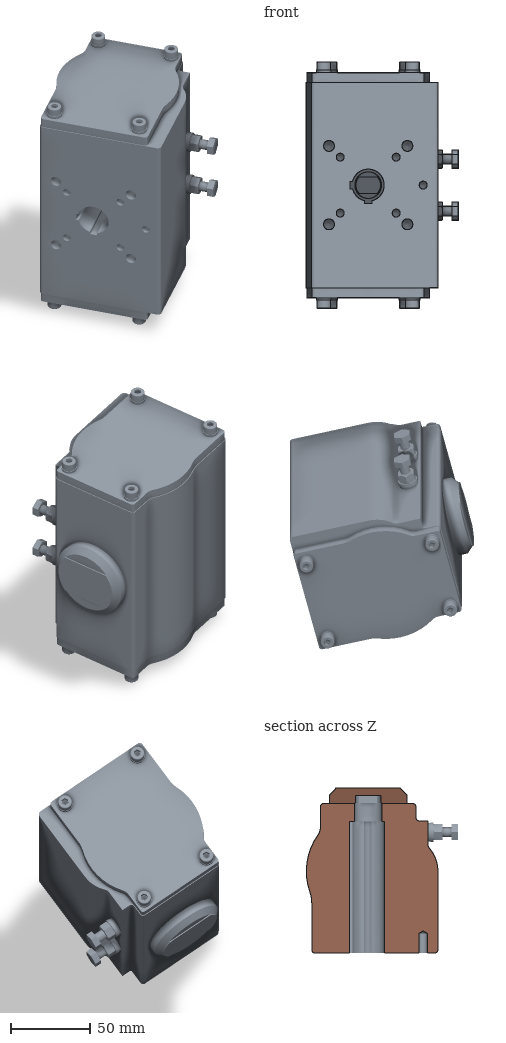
import cadquery as cq
import math


barrel_radius = 39.3
housing_top = 43.0
housing_bottom = -51.9
neck_half_width = 30.4
base_half_width = 35.8
neck_blend_radius = 8.1
base_blend_radius = 20.3
corner_radius = 2.3
housing_length = 130.0

flank_right = 44.3
flank_curve_radius = 22.3
flank_blend_radius = 4.7
ledge_right = 37.9
ledge_top = 32.0
ledge_fillet = 1.9

plate_inset = 0.5
plate_base_blend_radius = 14.8
plate_thickness = 6.2
overall_length = 155.8
plate_face = housing_length / 2 + plate_thickness
screw_washer_diameter = 9.4
screw_washer_thickness = 1.5
screw_head_diameter = 8.7
screw_head_height = overall_length / 2 - plate_face - screw_washer_thickness
screw_head_fillet = 0.6
socket_across_flats = 4.0
socket_depth = 2.5
upper_screw_x = 24.2
upper_screw_y = 36.3
lower_screw_x = 28.0
lower_screw_y = -44.5

bore_radius = 10.1
bore_end_y = 31.2
keyway_width = 4.7
keyway_reach = 11.5
shaft_hole_radius = 8.4

drill_point_angle = 118.0
outer_hole_pitch = 49.5
outer_hole_diameter = 6.9
outer_hole_depth = 15.6
inner_hole_pitch = 35.4
inner_hole_diameter = 5.0
inner_hole_depth = 12.5
side_hole_x = 34.8

bolt_y = 24.6
bolt_spacing = 32.9
bolt_end = 57.0
bolt_diameter = 6.2
bolt_head_height = 4.0
bolt_across_flats = 10.1
seal_diameter = 11.7
seal_thickness = 1.5
bolt_washer_diameter = 12.3
bolt_washer_thickness = 2.0
nut_height = 5.6
nut_chamfer = 0.6

cap_radius = 24.6
cap_rim_height = 5.1
cap_chamfer = 3.9
bar_width = 26.8
bar_height = 0.6
recess_radius = 7.8
recess_width = 10.6
recess_depth = 4.7


def across_corners(across_flats):
    return across_flats / math.cos(math.radians(30))


def cone_height(diameter):
    """Height of the drill point at the bottom of a blind hole."""
    return diameter / 2 / math.tan(math.radians(drill_point_angle / 2))


def round_edge(solid, x, y, radius):
    """Fillet the edge along Z that passes through (x, y)."""
    nearest = cq.selectors.NearestToPointSelector((x, y, 0))
    return solid.edges("|Z").edges(nearest).fillet(radius)


def rounded_profile(inset, base_blend, length):
    """Barrel crossed by a narrow neck and a wider base, shrunk by inset and centred on Z = 0."""
    radius = barrel_radius - inset
    neck = neck_half_width - inset
    base = base_half_width - inset
    top = housing_top - inset
    bottom = housing_bottom + inset
    neck_corner = math.sqrt(radius**2 - neck**2)
    base_corner = -math.sqrt(radius**2 - base**2)
    solid = (
        cq.Workplane("XY", origin=(0, 0, -length / 2))
        .moveTo(-neck, top)
        .lineTo(neck, top)
        .lineTo(neck, neck_corner)
        .threePointArc((radius, 0), (base, base_corner))
        .lineTo(base, bottom)
        .lineTo(-base, bottom)
        .lineTo(-base, base_corner)
        .threePointArc((-radius, 0), (-neck, neck_corner))
        .close()
        .extrude(length)
    )
    for x, y, fillet_radius in (
        (neck, neck_corner, neck_blend_radius),
        (base, base_corner, base_blend),
        (base, bottom, corner_radius - inset),
        (neck, top, corner_radius - inset),
    ):
        for side in (-1, 1):
            solid = round_edge(solid, side * x, y, fillet_radius)
    return solid


def flank():
    """Thickening of the +X side: ledge for the stop bolts, then a curve down to a flat side."""
    curve_center_x = flank_right - flank_curve_radius
    curve_top = math.sqrt(flank_curve_radius**2 - (ledge_right - curve_center_x) ** 2)
    curve_top_angle = math.asin(curve_top / flank_curve_radius)
    curve_middle = (
        curve_center_x + flank_curve_radius * math.cos(curve_top_angle / 2),
        flank_curve_radius * math.sin(curve_top_angle / 2),
    )
    solid = (
        cq.Workplane("XY", origin=(0, 0, -housing_length / 2))
        .moveTo(0, ledge_top)
        .lineTo(ledge_right, ledge_top)
        .lineTo(ledge_right, curve_top)
        .threePointArc(curve_middle, (flank_right, 0))
        .lineTo(flank_right, housing_bottom)
        .lineTo(0, housing_bottom)
        .close()
        .extrude(housing_length)
    )
    solid = round_edge(solid, ledge_right, curve_top, flank_blend_radius)
    return round_edge(solid, flank_right, housing_bottom, corner_radius)


def housing_block():
    block = rounded_profile(0, base_blend_radius, housing_length).union(flank())
    return round_edge(block, neck_half_width, ledge_top, ledge_fillet)


def plate_screw():
    """Socket head screw on its washer, standing on Z = 0."""
    top = screw_washer_thickness + screw_head_height
    washer = cq.Workplane("XY").circle(screw_washer_diameter / 2).extrude(screw_washer_thickness)
    head = (
        cq.Workplane("XY", origin=(0, 0, screw_washer_thickness))
        .circle(screw_head_diameter / 2)
        .extrude(screw_head_height)
        .faces(">Z").edges().fillet(screw_head_fillet)
    )
    socket = (
        cq.Workplane("XY", origin=(0, 0, top))
        .polygon(6, across_corners(socket_across_flats))
        .extrude(-socket_depth)
    )
    point = cq.Workplane(cq.Solid.makeCone(
        socket_across_flats / 2, 0, cone_height(socket_across_flats),
        pnt=cq.Vector(0, 0, top - socket_depth), dir=cq.Vector(0, 0, -1)))
    return washer.union(head).cut(socket).cut(point)


def plate_screws():
    """Four screws on each end plate."""
    upper_end = cq.Workplane("XY")
    for x, y in ((upper_screw_x, upper_screw_y), (lower_screw_x, lower_screw_y)):
        for side in (-1, 1):
            upper_end = upper_end.add(plate_screw().translate((side * x, y, plate_face)))
    upper_end = upper_end.combine()
    return upper_end.add(upper_end.mirror("XY")).combine()


def shaft_bore():
    """Bore with keyways on its -X and -Z sides, and the shaft hole up to the cap."""
    bore_length = bore_end_y - housing_bottom
    start = cq.Workplane("XZ", origin=(0, housing_bottom, 0))
    bore = start.circle(bore_radius).extrude(-bore_length)
    side_keyway = start.center(-keyway_reach / 2, 0).rect(keyway_reach, keyway_width).extrude(-bore_length)
    lower_keyway = start.center(0, -keyway_reach / 2).rect(keyway_width, keyway_reach).extrude(-bore_length)
    shaft_hole = start.circle(shaft_hole_radius).extrude(housing_bottom - housing_top)
    return bore.union(side_keyway).union(lower_keyway).union(shaft_hole)


def blind_hole(x, z, diameter, depth):
    """Drilled hole going in from the -Y face."""
    inward = cq.Vector(0, 1, 0)
    start = cq.Vector(x, housing_bottom, z)
    hole = cq.Solid.makeCylinder(diameter / 2, depth, start, inward)
    point = cq.Solid.makeCone(diameter / 2, 0, cone_height(diameter), start + inward * depth, inward)
    return cq.Workplane(hole).union(cq.Workplane(point))


def mounting_holes():
    holes = blind_hole(side_hole_x, 0, inner_hole_diameter, inner_hole_depth)
    for pitch, diameter, depth in (
        (outer_hole_pitch, outer_hole_diameter, outer_hole_depth),
        (inner_hole_pitch, inner_hole_diameter, inner_hole_depth),
    ):
        for x in (-pitch / 2, pitch / 2):
            for z in (-pitch / 2, pitch / 2):
                holes = holes.union(blind_hole(x, z, diameter, depth))
    return holes


def stop_bolt(z):
    """Seal, washer, lock nut and hexagon head bolt along +X, starting on the ledge."""
    washer_start = ledge_right + seal_thickness
    nut_start = washer_start + bolt_washer_thickness
    head_start = bolt_end - bolt_head_height

    def section(x):
        return cq.Workplane("YZ", origin=(x, bolt_y, z))

    def hexagon(x, height):
        """Hexagonal prism with two corners pointing along Z."""
        return section(x).transformed(rotate=(0, 0, 90)).polygon(
            6, across_corners(bolt_across_flats)).extrude(height)

    nut_cone = (
        section(nut_start)
        .circle(across_corners(bolt_across_flats) / 2)
        .extrude(nut_height)
        .edges().chamfer(nut_chamfer)
    )
    seal = section(ledge_right).circle(seal_diameter / 2).extrude(seal_thickness)
    washer = section(washer_start).circle(bolt_washer_diameter / 2).extrude(bolt_washer_thickness)
    nut = hexagon(nut_start, nut_height).intersect(nut_cone)
    shank = section(nut_start).circle(bolt_diameter / 2).extrude(head_start - nut_start)
    head = hexagon(head_start, bolt_head_height)
    return seal.union(washer).union(nut).union(shank).union(head)


def make_housing():
    """Housing with end plates, screws and stop bolts as one solid."""
    plates = rounded_profile(plate_inset, plate_base_blend_radius, 2 * plate_face)
    housing = housing_block().union(plates).union(plate_screws())
    for z in (-bolt_spacing / 2, bolt_spacing / 2):
        housing = housing.union(stop_bolt(z))
    return housing.cut(shaft_bore()).cut(mounting_holes())


def make_cap():
    """Round position indicator with a raised bar, and a two-flat recess underneath."""
    def section(y):
        return cq.Workplane("XZ", origin=(0, y, 0))

    disc_height = cap_rim_height + cap_chamfer
    disc = section(housing_top).circle(cap_radius).extrude(-disc_height).faces(">Y").chamfer(cap_chamfer)
    disc_top = housing_top + disc_height
    bar_outline = section(disc_top).circle(cap_radius - cap_chamfer).extrude(-bar_height)
    bar = section(disc_top).rect(2 * cap_radius, bar_width).extrude(-bar_height).intersect(bar_outline)
    recess_round = section(housing_top).circle(recess_radius).extrude(-recess_depth)
    recess = (
        section(housing_top)
        .rect(2 * recess_radius, recess_width)
        .extrude(-recess_depth)
        .intersect(recess_round)
    )
    return disc.union(bar).cut(recess)


housing = make_housing()
indicator_cap = make_cap()

result = cq.Compound.makeCompound([housing.val(), indicator_cap.val()])